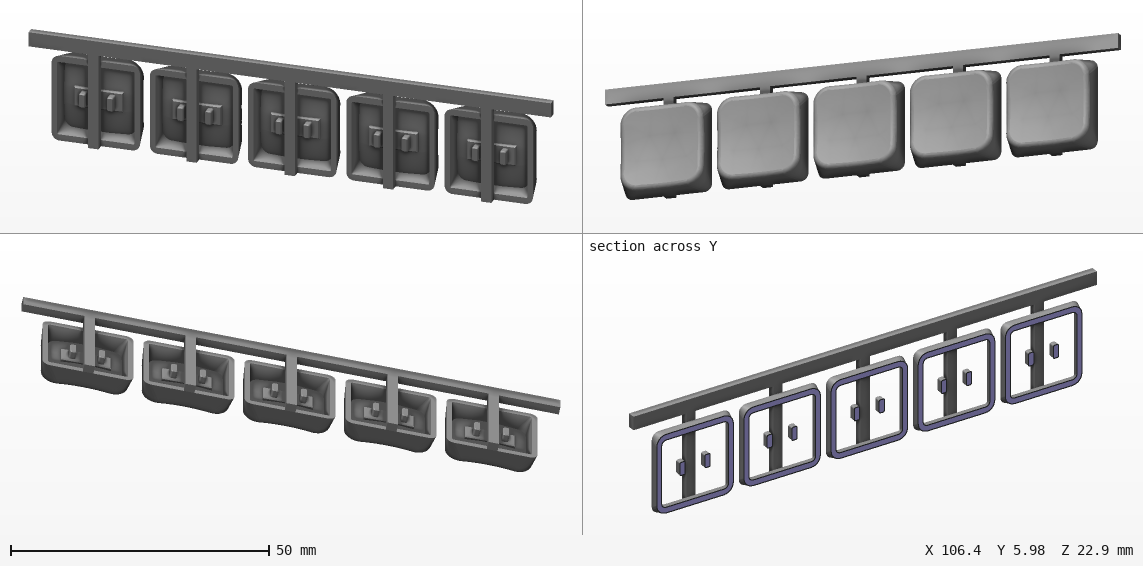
import cadquery as cq
import math

bar_length = 106.36
bar_height = 3.0
sprue_thickness = 1.6
sprue_height = 22.9
strip_width = 2.1

key_count = 5
key_pitch = 20.0
key_size = 18.0

overall_depth = 5.98
ridge_rounding = 0.15
key_depth = overall_depth + ridge_rounding - sprue_thickness
rim_radius = 1.6
crown_radius = 3.8
crown_width = 17.0
crown_height = 16.6
crown_fillet = 0.9

dish_radius = 45.0
corner_center_x = crown_width / 2 - crown_radius
corner_center_z = crown_height / 2 - crown_radius
dish_edge_reach = math.hypot(corner_center_x, corner_center_z) + crown_radius
dish_sag = dish_radius - math.sqrt(dish_radius**2 - dish_edge_reach**2)

opening_width = 15.8
opening_height = 15.4
opening_radius = 0.3
ceiling_width = 14.4
ceiling_height = 14.1
ceiling_radius = 1.8
crown_thickness = 1.3

pad_width = 10.0
pad_height = 4.2
pad_drop = 0.4
prong_spacing = 5.7
prong_width = 1.3
prong_height = 3.0
prong_radius = 0.35
pad_chamfer = 0.25
prong_chamfer = 0.2

rim_y = sprue_thickness
crown_y = rim_y + key_depth
dish_center_y = crown_y - dish_sag + dish_radius
ceiling_low_y = crown_y - dish_sag - crown_thickness
pad_y = ceiling_low_y - pad_drop


def xz_plane(y):
    """Plane facing +Y at the given Y, centred on a key, with local Y along +Z."""
    return cq.Plane(origin=(0, y, 0), xDir=(-1, 0, 0), normal=(0, 1, 0))


def rounded_rectangle(width, height, radius):
    return cq.Sketch().rect(width, height).vertices().fillet(radius)


def tapered_block(near, far, near_y, far_y):
    """Loft between two rounded rectangles given as (width, height, radius)."""
    near_outline = rounded_rectangle(*near)
    far_outline = rounded_rectangle(*far).moved(cq.Location(cq.Vector(0, 0, far_y - near_y)))
    return cq.Workplane(xz_plane(near_y)).placeSketch(near_outline, far_outline).loft(ruled=True)


def dish_ball(radius):
    return cq.Workplane("XY").sphere(radius).translate((0, dish_center_y, 0))


def key_body():
    outer = tapered_block(
        (key_size, key_size, rim_radius),
        (crown_width, crown_height, crown_radius),
        rim_y,
        crown_y,
    )
    dished = outer.cut(dish_ball(dish_radius))
    return dished.faces("%SPHERE").edges().fillet(crown_fillet)


def key_cavity():
    block = tapered_block(
        (opening_width, opening_height, opening_radius),
        (ceiling_width, ceiling_height, ceiling_radius),
        rim_y,
        crown_y - crown_thickness,
    )
    return block.cut(dish_ball(dish_radius + crown_thickness))


def stem_pad():
    pad_back_y = ceiling_low_y + crown_thickness / 2
    pad = cq.Workplane(xz_plane(pad_y)).rect(pad_width, pad_height).extrude(pad_back_y - pad_y)
    return pad.faces("<Y").chamfer(pad_chamfer)


def prong():
    return (
        cq.Workplane(xz_plane(rim_y))
        .placeSketch(rounded_rectangle(prong_width, prong_height, prong_radius))
        .extrude(pad_y - rim_y)
        .faces("<Y")
        .chamfer(prong_chamfer)
    )


def keycap():
    cap = key_body().cut(key_cavity()).union(stem_pad())
    for side in (-1, 1):
        cap = cap.union(prong().translate((side * prong_spacing / 2, 0, 0)))
    return cap


def sprue_bar(width, height):
    return cq.Workplane("XY").box(width, sprue_thickness, height, centered=(True, False, False))


def sprue(key_positions):
    frame = sprue_bar(bar_length, bar_height).translate((0, 0, sprue_height - bar_height))
    for x in key_positions:
        frame = frame.union(sprue_bar(strip_width, sprue_height).translate((x, 0, 0)))
    return frame


key_positions = [(i - (key_count - 1) / 2) * key_pitch for i in range(key_count)]
result = sprue(key_positions)
cap = keycap()
for x in key_positions:
    result = result.union(cap.translate((x, 0, key_size / 2)))